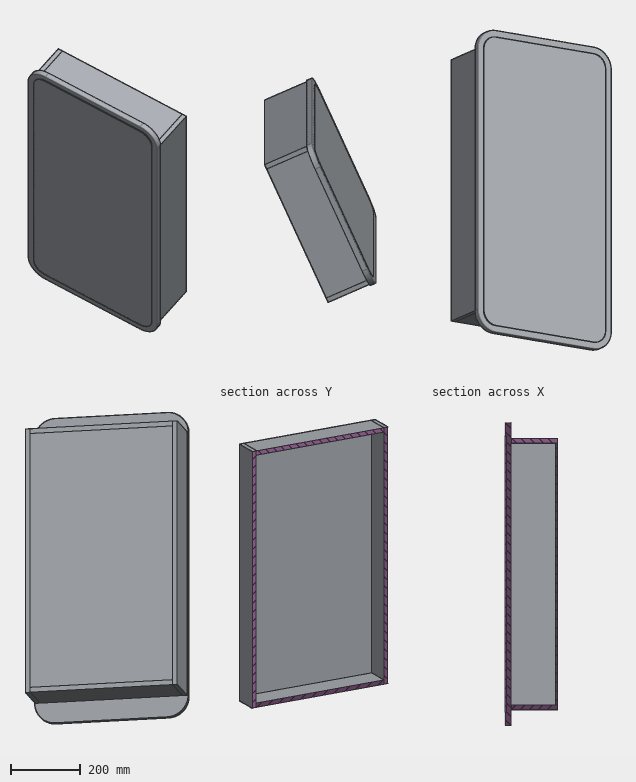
import cadquery as cq

height = 901.0
door_width = 451.0
depth = 151.0
door_back = 18.0
mirror_thickness = 4.0
corner_radius = 60.0
border = 20.0
edge_round = 1.0
mirror_step = 1.0

case_width = 447.0
board = 14.0
back_thickness = 5.0

case_height = height - 2 * corner_radius
case_depth = depth - door_back
inner_width = case_width - 2 * board


def rounded_plate(width, tall, radius, front, thickness):
    """Upright plate with rounded corners, reaching back from Y = front."""
    plate = cq.Workplane("XY").box(width, thickness, tall).edges("|Y").fillet(radius)
    return plate.translate((0, front + thickness / 2, 0))


def make_side(direction):
    """Full-height side board of the case."""
    side = cq.Workplane("XY").box(board, case_depth, case_height)
    return side.translate((direction * (case_width - board) / 2, door_back + case_depth / 2, 0))


def make_shelf(direction):
    """Top or bottom board, held between the sides."""
    shelf = cq.Workplane("XY").box(inner_width, case_depth, board)
    return shelf.translate((0, door_back + case_depth / 2, direction * (case_height - board) / 2))


def make_back():
    """Thin back panel inside the four boards, flush with their rear edges."""
    back = cq.Workplane("XY").box(inner_width, back_thickness, case_height - 2 * board)
    return back.translate((0, depth - back_thickness / 2, 0))


def make_mirror():
    """Thin sheet let into the door inside an even border, standing slightly proud."""
    return rounded_plate(
        door_width - 2 * border, height - 2 * border, corner_radius - border, 0, mirror_thickness
    )


def make_door():
    """Door plate with a rounded front rim and a shallow recess that fits the mirror."""
    plate = rounded_plate(
        door_width, height, corner_radius, mirror_step, door_back - mirror_step
    )
    plate = plate.faces("<Y").edges().fillet(edge_round)
    return plate.cut(make_mirror())


sides = [make_side(direction) for direction in (-1, 1)]
shelves = [make_shelf(direction) for direction in (-1, 1)]
back = make_back()
door = make_door()
mirror = make_mirror()

result = cq.Compound.makeCompound(
    [body.val() for body in [*sides, *shelves, back, door, mirror]]
)